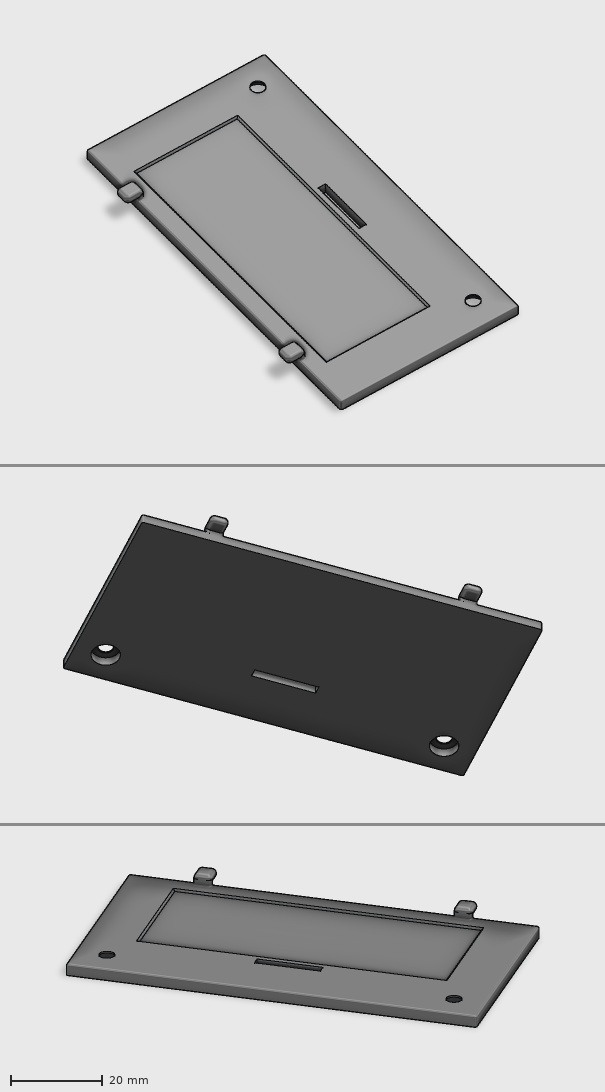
import cadquery as cq

plate_length = 93.7
plate_width = 48.5
plate_thickness = 2.7
edge_radius = 0.55

hole_diameter = 3.5
head_diameter = 6.4
web_thickness = 0.4
hole_spacing = 79.2
hole_rear_margin = 7.2

slot_length = 15.0
slot_width = 2.0
slot_center_y = 35.0

pocket_length = 70.8
pocket_width = 28.2
pocket_center_y = 18.6
pocket_depth = 0.5
pocket_wall_inset = 0.45

total_width = 51.68
total_height = 5.35
tab_spacing = 59.4
tab_width = 4.2
tab_length = 4.9
tab_height = 2.2
tab_round = 1.09
foot_round = 0.77
flare_radius = 0.4

tab_front_y = plate_width - total_width
tab_rear_y = tab_front_y + tab_length
tab_bottom_z = total_height - tab_height
tab_middle_z = total_height - tab_height / 2
foot_base_z = plate_thickness - edge_radius


def make_plate():
    """Slab with its top and upright edges rounded; the bottom edges stay sharp."""
    slab = cq.Workplane("XY").box(
        plate_length, plate_width, plate_thickness, centered=(True, False, False)
    )
    return slab.edges("|Z or >Z").fillet(edge_radius)


def make_screw_holes():
    """Through holes, widened below to leave a thin web under the top face."""
    hole_y = plate_width - hole_rear_margin
    half_spacing = hole_spacing / 2
    centers = cq.Workplane("XY").pushPoints([(-half_spacing, hole_y), (half_spacing, hole_y)])
    shanks = centers.circle(hole_diameter / 2).extrude(plate_thickness)
    heads = centers.circle(head_diameter / 2).extrude(plate_thickness - web_thickness)
    return shanks.union(heads)


def make_slot():
    outline = cq.Workplane("XY").center(0, slot_center_y).rect(slot_length, slot_width)
    return outline.extrude(plate_thickness)


def make_pocket():
    """Frustum that is widest at the plate's top face."""
    floor_z = plate_thickness - pocket_depth
    return (
        cq.Workplane("XY", origin=(0, pocket_center_y, floor_z))
        .rect(pocket_length - 2 * pocket_wall_inset, pocket_width - 2 * pocket_wall_inset)
        .workplane(offset=pocket_depth)
        .rect(pocket_length, pocket_width)
        .loft()
    )


def add_foot(plate, center_x):
    """Stand a rounded block on the plate, flush with its front, and flare the joint."""
    block = cq.Workplane("XY", origin=(center_x, 0, foot_base_z)).box(
        tab_width, tab_rear_y, tab_middle_z - foot_base_z, centered=(True, False, False)
    )
    block = block.edges("|Z").fillet(foot_round)
    joined = plate.union(block)

    margin = 0.01
    joint = cq.selectors.BoxSelector(
        (center_x - tab_width, -margin, foot_base_z + margin),
        (center_x + tab_width, tab_rear_y + margin, plate_thickness + margin),
    )
    return joined.edges(joint).fillet(flare_radius)


def make_finger(center_x):
    """Overhanging finger, rounded on every edge."""
    block = cq.Workplane("XY", origin=(center_x, tab_front_y, tab_bottom_z)).box(
        tab_width, tab_length, tab_height, centered=(True, False, False)
    )
    return block.edges().fillet(tab_round)


result = make_plate().cut(make_screw_holes()).cut(make_slot()).cut(make_pocket())
for tab_x in (-tab_spacing / 2, tab_spacing / 2):
    result = add_foot(result, tab_x).union(make_finger(tab_x))